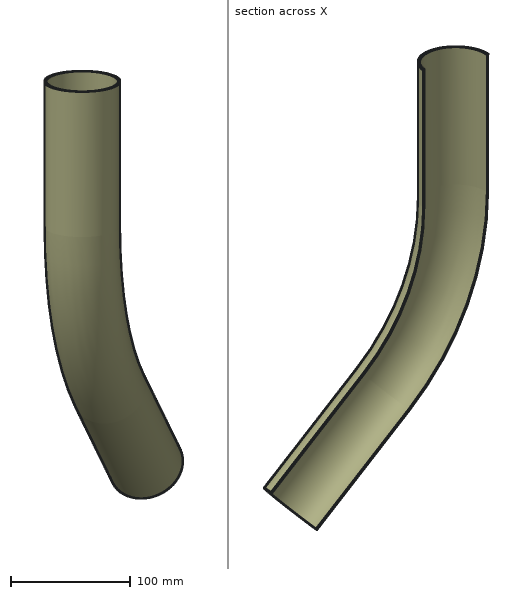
import cadquery as cq
import math

outer_diameter = 63.5
inner_diameter = 60.3

leg_length = 127.0
bend_radius = 228.6
bend_angle = 45.0


def bent_rod(diameter):
    """Solid round rod along the centreline, with its bend starting at the origin."""
    rod_radius = diameter / 2
    upper_leg = cq.Workplane("XY").circle(rod_radius).extrude(leg_length)

    bend = (
        cq.Workplane("XY")
        .circle(rod_radius)
        .revolve(bend_angle, (0, bend_radius, 0), (1, bend_radius, 0))
    )

    angle = math.radians(bend_angle)
    bend_end = (
        0,
        bend_radius * (1 - math.cos(angle)),
        -bend_radius * math.sin(angle),
    )
    lower_direction = (0, math.sin(angle), -math.cos(angle))
    lower_plane = cq.Plane(origin=bend_end, xDir=(1, 0, 0), normal=lower_direction)
    lower_leg = cq.Workplane(lower_plane).circle(rod_radius).extrude(leg_length)

    return upper_leg.union(bend).union(lower_leg)


result = bent_rod(outer_diameter).cut(bent_rod(inner_diameter))